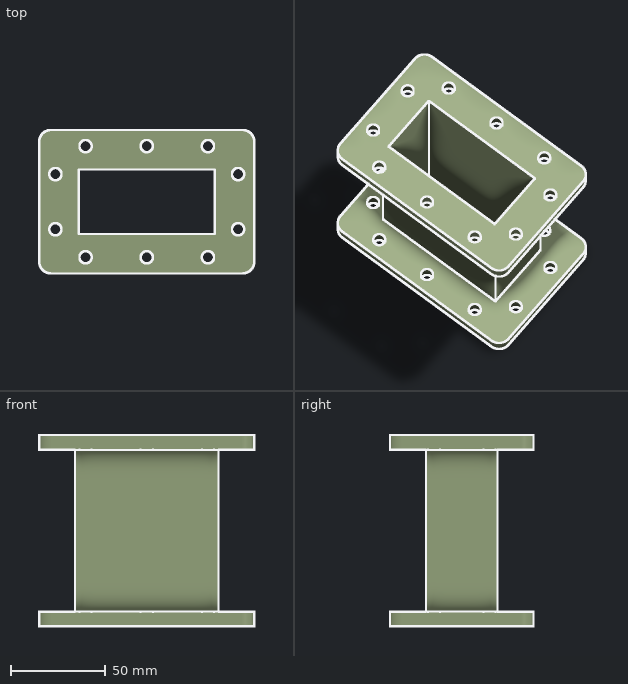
import cadquery as cq

flange_length = 114.3
flange_width = 76.2
total_height = 101.6

flange_thickness = 7.9
corner_radius = 6.4

tube_length = 76.2
tube_width = 38.1
bore_length = 72.1
bore_width = 34.1

hole_diameter = 6.4
long_row_pitch = 32.5
long_row_offset = 29.5
short_row_pitch = 29.3
short_row_offset = 48.5


def bolt_hole_points():
    """Centres of the ten bolt holes of one flange."""
    points = []
    for side in (-1, 1):
        for step in (-1, 0, 1):
            points.append((step * long_row_pitch, side * long_row_offset))
        for half in (-1, 1):
            points.append((side * short_row_offset, half * short_row_pitch / 2))
    return points


def make_flange(base_z):
    """Drilled plate with rounded corners, resting at height base_z."""
    plate = (
        cq.Workplane("XY", origin=(0, 0, base_z))
        .rect(flange_length, flange_width)
        .extrude(flange_thickness)
        .edges("|Z")
        .fillet(corner_radius)
    )
    return plate.faces(">Z").workplane().pushPoints(bolt_hole_points()).hole(hole_diameter)


tube = cq.Workplane("XY").rect(tube_length, tube_width).extrude(total_height)
bore = cq.Workplane("XY").rect(bore_length, bore_width).extrude(total_height)

bottom_flange = make_flange(0)
top_flange = make_flange(total_height - flange_thickness)

result = tube.union(bottom_flange).union(top_flange).cut(bore)